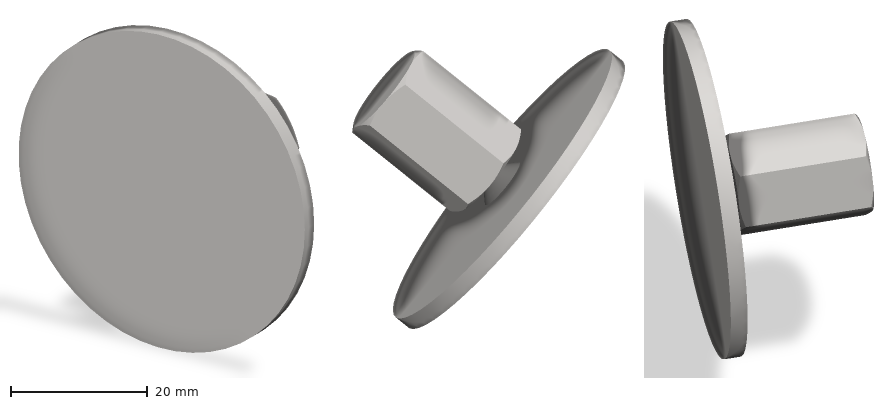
import cadquery as cq
import math

PLATE_DIAMETER = 50.0
PLATE_THICKNESS = 2.5
NECK_LENGTH = 2.5
NECK_BASE_RADIUS = 4.0
NECK_TIP_RADIUS = 1.5

HEX_ACROSS_FLATS = 14.0
HEX_LENGTH = 20.0
CHAMFER_DEPTH = 0.65
END_FACE_RADIUS = HEX_ACROSS_FLATS / 2

HEX_CORNER_RADIUS = HEX_ACROSS_FLATS / 2 / math.cos(math.pi / 6)
HEX_START = PLATE_THICKNESS + NECK_LENGTH
HEX_END = HEX_START + HEX_LENGTH


def make_foot():
    """Plate and tapered neck, revolved about Y as one solid."""
    return (
        cq.Workplane("XY")
        .polyline([
            (0, 0),
            (PLATE_DIAMETER / 2, 0),
            (PLATE_DIAMETER / 2, PLATE_THICKNESS),
            (NECK_BASE_RADIUS, PLATE_THICKNESS),
            (NECK_TIP_RADIUS, HEX_START),
            (0, HEX_START),
        ])
        .close()
        .revolve(360, (0, 0), (0, 1))
    )


def make_standoff():
    """Hexagonal prism with its corners turned to a cone at both ends."""
    prism = (
        cq.Workplane("XZ", origin=(0, HEX_START, 0))
        .polygon(6, 2 * HEX_CORNER_RADIUS)
        .extrude(-HEX_LENGTH)
    )
    turned_envelope = (
        cq.Workplane("XY")
        .polyline([
            (0, HEX_START),
            (END_FACE_RADIUS, HEX_START),
            (HEX_CORNER_RADIUS, HEX_START + CHAMFER_DEPTH),
            (HEX_CORNER_RADIUS, HEX_END - CHAMFER_DEPTH),
            (END_FACE_RADIUS, HEX_END),
            (0, HEX_END),
        ])
        .close()
        .revolve(360, (0, 0), (0, 1))
    )
    return prism.intersect(turned_envelope)


foot = make_foot()
standoff = make_standoff()
result = cq.Compound.makeCompound([foot.val(), *standoff.solids().vals()])